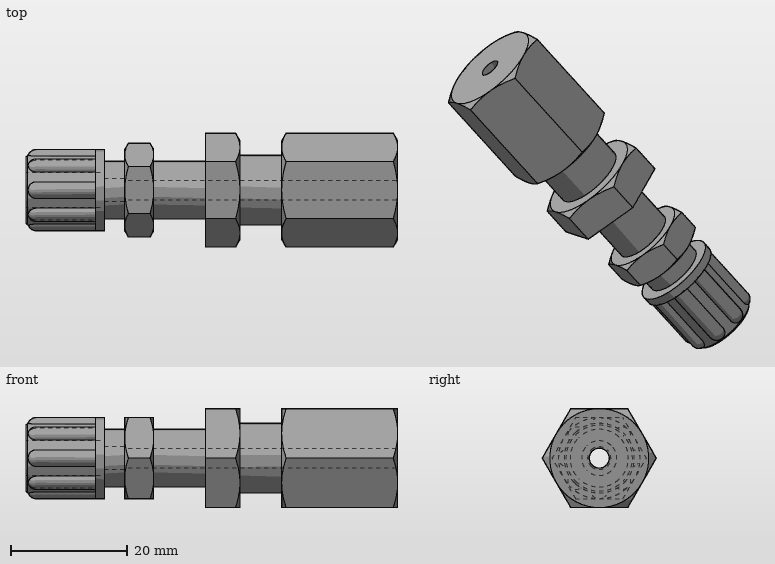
import cadquery as cq
import math


cap_end = 13.6
cap_flange_length = 1.55
lock_nut_start = 17.0
lock_nut_end = 22.0
collar_start = 30.9
collar_end = 36.85
end_nut_start = 44.0
total_length = 64

thread_diameter = 10.0
neck_diameter = 12.0
lock_nut_flats = 14.0
large_hex_flats = 17.0
hex_sides = 6
hex_chamfer_angle = 30

cap_diameter = 14.0
cap_core_diameter = 12.0
cap_front_chamfer = 0.3
rib_count = 8
rib_radius = 1.5
rib_dome_center = 1.8
rib_center_radius = cap_diameter / 2 - rib_radius

inlet_diameter = 6.0
middle_bore_diameter = 4.0
through_diameter = 3.4


def cylinder(start, end, diameter):
    """Round bar centred on the X axis."""
    return cq.Workplane("YZ").workplane(offset=start).circle(diameter / 2).extrude(end - start)


def hexagon(start, end, flats, chamfer_start=True, chamfer_end=True):
    """Hexagonal bar with flats facing +Z and -Z and conically trimmed corners."""
    flat_radius = flats / 2
    corner_radius = flat_radius / math.cos(math.pi / hex_sides)
    chamfer_length = (corner_radius - flat_radius) * math.tan(math.radians(hex_chamfer_angle))
    bar = (
        cq.Workplane("YZ")
        .workplane(offset=start)
        .polygon(hex_sides, 2 * corner_radius)
        .extrude(end - start)
    )
    start_radius = flat_radius if chamfer_start else corner_radius
    end_radius = flat_radius if chamfer_end else corner_radius
    profile = cq.Workplane("XY").moveTo(start, 0).lineTo(start, start_radius)
    if chamfer_start:
        profile = profile.lineTo(start + chamfer_length, corner_radius)
    if chamfer_end:
        profile = profile.lineTo(end - chamfer_length, corner_radius)
    envelope = (
        profile.lineTo(end, end_radius)
        .lineTo(end, 0)
        .close()
        .revolve(360, (0, 0, 0), (1, 0, 0))
    )
    return bar.intersect(envelope)


def ribbed_cap():
    """Round cap with dome-ended grip ribs running up to a plain flange."""
    flange_start = cap_end - cap_flange_length
    cap = cylinder(0, cap_end, cap_core_diameter).faces("<X").chamfer(cap_front_chamfer)
    cap = cap.union(cylinder(flange_start, cap_end, cap_diameter))
    dome = cq.Workplane("XY").sphere(rib_radius).translate((rib_dome_center, 0, rib_center_radius))
    shaft = cylinder(rib_dome_center, flange_start, 2 * rib_radius).translate((0, 0, rib_center_radius))
    rib = shaft.union(dome)
    for index in range(rib_count):
        cap = cap.union(rib.rotate((0, 0, 0), (1, 0, 0), index * 360 / rib_count))
    return cap


def stepped_bore():
    """Tube inlet narrowing in two steps to the through hole."""
    inlet = cylinder(0, cap_end, inlet_diameter)
    middle = cylinder(cap_end, lock_nut_start, middle_bore_diameter)
    through = cylinder(0, total_length, through_diameter)
    return through.union(middle).union(inlet)


body = ribbed_cap()
body = body.union(cylinder(cap_end, collar_start, thread_diameter))
body = body.union(hexagon(lock_nut_start, lock_nut_end, lock_nut_flats))
body = body.union(hexagon(collar_start, collar_end, large_hex_flats, chamfer_start=False))
body = body.union(cylinder(collar_end, end_nut_start, neck_diameter))
body = body.union(hexagon(end_nut_start, total_length, large_hex_flats))

result = body.cut(stepped_bore())